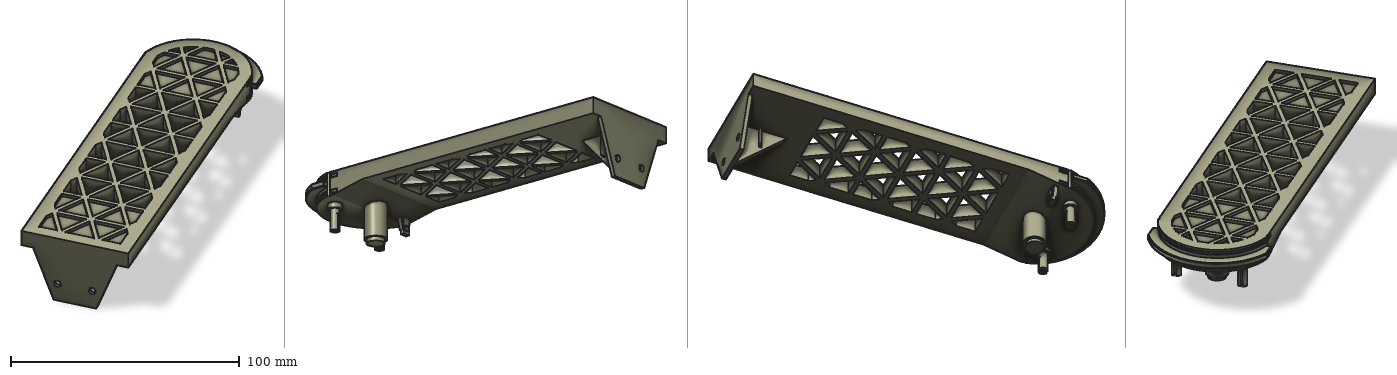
import cadquery as cq
import math


arm_half_width = 25.0
arm_depth = 7.5
frame_wall = 6.0

head_depth = 11.0
head_center_y = 144.3
head_radius = 25.9
slope_start_y = 131.0
slope_end_y = 148.0

notch_start_y = 149.5
notch_bottom_y = 149.7
notch_depth = 0.3

groove_offset = 1.0
groove_height = 1.5
groove_radius = 24.8
flank_groove_start_y = 145.5
flank_groove_end_y = 149.4
rim_groove_start_y = 151.5

bumper_radius = 30.6
bumper_width = 54.7
bumper_end_y = 151.0
bumper_thickness = 2.6
bumper_chamfer = 0.3

row_pitch = 15.0
row_count = 12
first_slanted_column = -8
last_slanted_column = 1
slanted_rib_angle = 60
first_row_y = 4.9
rib_width = 2.1
pocket_depth = 1.4
open_first_row = 2
open_last_row = 8

plate_thickness = 2.0
plate_top_half_width = 19.6
plate_bottom_half_width = 10.0
plate_bottom_z = -32.5
plate_hole_diameter = 3.1
plate_hole_spacing = 16.3
plate_hole_z = -23.8
gusset_length = 26.2
gusset_thickness = 2.1
gusset_rib_start_y = 12.8
gusset_rib_end_y = 14.7
gusset_rib_height = 3.5
gusset_rib_bottom_z = -18.0

hub_diameter = 10.1
hub_bottom_z = -25.5
hub_tip_diameter = 8.0
hub_tip_bottom_z = -27.5

pin_x = 15.2
pin_y = 154.8
pin_diameter = 4.2
pin_bottom_z = -23.5
pin_flange_diameter = 6.3
pin_flange_bottom_z = -13.5
pin_slot_width = 1.0
pin_slot_top_z = -15.7

eyelet_x = 20.0
eyelet_y = 143.2
eyelet_width = 3.7
eyelet_base_width = 6.6
eyelet_thickness = 2.0
eyelet_step = 0.5
eyelet_top_z = -9.6
eyelet_taper_bottom_z = -15.7
eyelet_bottom_z = -17.8
eyelet_hole_diameter = 2.6
eyelet_hole_z = -15.0


def disc(radius, top_z, height):
    """Upright cylinder on the head axis, reaching down from top_z."""
    return cq.Workplane("XY", origin=(0, head_center_y, top_z)).circle(radius).extrude(-height)


def post(x, y, diameter, bottom_z):
    """Upright cylinder from inside the head down to bottom_z."""
    start_z = -arm_depth
    return cq.Workplane("XY", origin=(x, y, start_z)).circle(diameter / 2).extrude(bottom_z - start_z)


def slab(x_half, y_start, y_end, top_z, height):
    """Box centered on X = 0, reaching down from top_z."""
    return (
        cq.Workplane("XY", origin=(0, 0, top_z))
        .moveTo(-x_half, y_start)
        .lineTo(x_half, y_start)
        .lineTo(x_half, y_end)
        .lineTo(-x_half, y_end)
        .close()
        .extrude(-height)
    )


def side_prism(profile, half_width):
    """Extrude a (Y, Z) profile to both sides of X = 0."""
    return cq.Workplane("YZ").polyline(profile).close().extrude(half_width, both=True)


def make_arm():
    arc_start_y = head_center_y + math.sqrt(head_radius**2 - arm_half_width**2)
    notch_x = arm_half_width - notch_depth
    outline = (
        cq.Workplane("XY")
        .moveTo(-arm_half_width, 0)
        .lineTo(arm_half_width, 0)
        .lineTo(arm_half_width, notch_start_y)
        .lineTo(notch_x, notch_bottom_y)
        .lineTo(arm_half_width, arc_start_y)
        .threePointArc((0, head_center_y + head_radius), (-arm_half_width, arc_start_y))
        .lineTo(-notch_x, notch_bottom_y)
        .lineTo(-arm_half_width, notch_start_y)
        .close()
        .extrude(-head_depth)
    )
    head_end_y = head_center_y + head_radius
    side_profile = [
        (0, 0),
        (head_end_y, 0),
        (head_end_y, -head_depth),
        (slope_end_y, -head_depth),
        (slope_start_y, -arm_depth),
        (0, -arm_depth),
    ]
    return outline.intersect(side_prism(side_profile, head_radius))


def make_groove(top_z):
    """Groove along the head rim and, past the notch, along both flanks."""
    ring = disc(bumper_radius, top_z, groove_height).cut(disc(groove_radius, top_z, groove_height))
    head_end_y = head_center_y + bumper_radius
    rim = slab(bumper_radius, rim_groove_start_y, head_end_y, 0, head_depth)
    flanks = slab(bumper_radius, flank_groove_start_y, flank_groove_end_y, 0, head_depth)
    return ring.intersect(rim.union(flanks))


def make_bumper():
    top_z = -(head_depth - bumper_thickness) / 2
    bumper_top_y = head_center_y + bumper_radius
    limit = slab(bumper_width / 2, bumper_end_y, bumper_top_y, 0, head_depth)
    body = disc(bumper_radius, top_z, bumper_thickness).intersect(limit)
    body = body.faces(">Z or <Z or <Y").edges().chamfer(bumper_chamfer)
    return body.cut(disc(groove_radius, top_z, bumper_thickness))


def make_ribs(depth):
    """Full lattice: one straight rib along each row and two mirrored families of slanted ribs."""
    node_pitch = row_pitch * 2 / math.sqrt(3)
    slanted_length = 3 * row_count * row_pitch
    ribs = cq.Workplane("XY")
    for row in range(row_count):
        y = first_row_y + row * row_pitch
        ribs = ribs.add(slab(arm_half_width, y - rib_width / 2, y + rib_width / 2, 0, depth))
    for column in range(first_slanted_column, last_slanted_column + 1):
        x = (column + 0.5) * node_pitch
        for side in (-1, 1):
            rib = (
                cq.Workplane("XY")
                .rect(slanted_length, rib_width)
                .extrude(-depth)
                .rotate((0, 0, 0), (0, 0, 1), side * slanted_rib_angle)
                .translate((side * x, first_row_y, 0))
            )
            ribs = ribs.add(rib)
    return ribs.combine()


def make_pockets():
    """Shallow cells over the whole frame, deepened to open cells between two rows."""
    half_width = arm_half_width - frame_wall
    shallow = slab(half_width, frame_wall, head_center_y, 0, pocket_depth)
    round_end = disc(head_radius - frame_wall, 0, pocket_depth)
    end_limit = slab(half_width, head_center_y, head_center_y + head_radius, 0, pocket_depth)
    opening = slab(
        half_width,
        first_row_y + open_first_row * row_pitch,
        first_row_y + open_last_row * row_pitch,
        0,
        head_depth,
    )
    return shallow.union(round_end.intersect(end_limit)).union(opening).cut(make_ribs(head_depth))


def make_plate():
    plate = (
        cq.Workplane("XZ")
        .moveTo(-plate_top_half_width, -arm_depth)
        .lineTo(plate_top_half_width, -arm_depth)
        .lineTo(plate_bottom_half_width, plate_bottom_z)
        .lineTo(-plate_bottom_half_width, plate_bottom_z)
        .close()
        .extrude(-plate_thickness)
    )
    holes = (
        cq.Workplane("XZ")
        .pushPoints([(-plate_hole_spacing / 2, plate_hole_z), (plate_hole_spacing / 2, plate_hole_z)])
        .circle(plate_hole_diameter / 2)
        .extrude(-plate_thickness)
    )
    return plate.cut(holes)


def make_gusset():
    web_profile = [
        (0, -arm_depth),
        (gusset_length, -arm_depth),
        (plate_thickness, plate_bottom_z),
        (0, plate_bottom_z),
    ]
    web = side_prism(web_profile, gusset_thickness / 2)
    rib_x = gusset_thickness / 2 + gusset_rib_height
    stiffener = (
        cq.Workplane("XY", origin=(0, 0, -arm_depth))
        .polyline([(-rib_x, gusset_rib_start_y), (rib_x, gusset_rib_start_y), (0, gusset_rib_end_y)])
        .close()
        .extrude(gusset_rib_bottom_z + arm_depth)
    )
    return web.union(stiffener)


def make_hub():
    hub = post(0, head_center_y, hub_diameter, hub_bottom_z)
    return hub.union(post(0, head_center_y, hub_tip_diameter, hub_tip_bottom_z))


def make_pin(x):
    shaft = post(x, pin_y, pin_diameter, pin_bottom_z)
    slot_height = pin_slot_top_z - pin_bottom_z
    slot = slab(pin_slot_width / 2, pin_y - pin_diameter, pin_y + pin_diameter, pin_slot_top_z, slot_height)
    flange = post(x, pin_y, pin_flange_diameter, pin_flange_bottom_z)
    return shaft.cut(slot.translate((x, 0, 0))).union(flange)


def make_eyelet():
    left = eyelet_x - eyelet_width / 2
    right = eyelet_x + eyelet_width / 2
    strap = (
        cq.Workplane("XZ", origin=(0, eyelet_y, 0))
        .polyline(
            [
                (left, eyelet_top_z),
                (right, eyelet_top_z),
                (right, eyelet_bottom_z),
                (left, eyelet_bottom_z),
            ]
        )
        .close()
        .extrude(-eyelet_thickness)
    )
    taper = (
        cq.Workplane("XZ", origin=(0, eyelet_y + eyelet_step, 0))
        .polyline(
            [
                (eyelet_x - eyelet_base_width / 2, eyelet_top_z),
                (eyelet_x + eyelet_base_width / 2, eyelet_top_z),
                (right, eyelet_taper_bottom_z),
                (left, eyelet_taper_bottom_z),
            ]
        )
        .close()
        .extrude(-eyelet_thickness)
    )
    hole = (
        cq.Workplane("XZ", origin=(eyelet_x, eyelet_y, eyelet_hole_z))
        .circle(eyelet_hole_diameter / 2)
        .extrude(-eyelet_thickness - eyelet_step)
    )
    return strap.union(taper).cut(hole)


arm = make_arm().cut(make_pockets())
arm = arm.cut(make_groove(-groove_offset))
arm = arm.cut(make_groove(groove_offset + groove_height - head_depth))

result = arm
for feature in (make_bumper(), make_plate(), make_gusset(), make_hub(), make_eyelet()):
    result = result.union(feature)
for pin_side in (-1, 1):
    result = result.union(make_pin(pin_side * pin_x))